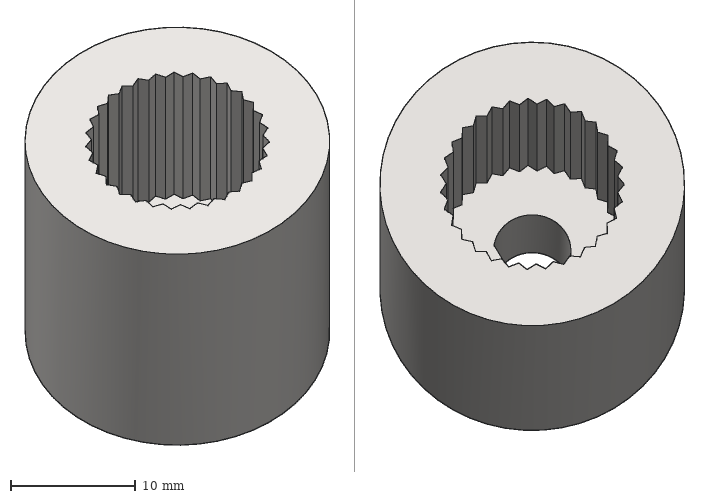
import cadquery as cq
import math

outer_diameter = 24.48
height = 23.0

tooth_count = 31
groove_radius = 7.4
ridge_radius = 6.9
socket_depth = 14.7

shaft_radius = 3.1
flat_offset = 2.45


def polar_point(radius, angle):
    return (radius * math.cos(angle), radius * math.sin(angle))


def serrated_socket():
    """Toothed cutter with one groove pointing along +Y."""
    pitch = 2 * math.pi / tooth_count
    points = []
    for tooth in range(tooth_count):
        angle = math.pi / 2 + tooth * pitch
        points.append(polar_point(groove_radius, angle))
        points.append(polar_point(ridge_radius, angle + pitch / 2))
    socket = cq.Workplane("XY").workplane(offset=height - socket_depth)
    return socket.polyline(points).close().extrude(socket_depth)


def shaft_hole():
    """Round cutter with a flat facing the axis from +Y."""
    half_flat = math.sqrt(shaft_radius**2 - flat_offset**2)
    return (
        cq.Workplane("XY")
        .moveTo(-half_flat, flat_offset)
        .threePointArc((0, -shaft_radius), (half_flat, flat_offset))
        .close()
        .extrude(height)
    )


body = cq.Workplane("XY").circle(outer_diameter / 2).extrude(height)
result = body.cut(serrated_socket()).cut(shaft_hole())